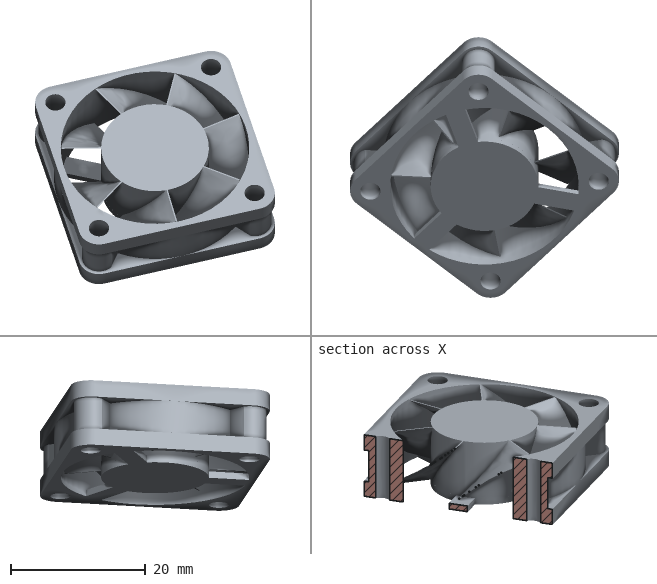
import cadquery as cq
import math

SIDE = 30.0
HEIGHT = 10.0
CORNER_RADIUS = 3.0
FLANGE_THICKNESS = 2.52
WAIST_HEIGHT = HEIGHT - 2 * FLANGE_THICKNESS
BORE_DIAMETER = 28.0
RING_DIAMETER = SIDE

HOLE_DIAMETER = 3.0
HOLE_SPACING = 24.0
HOLE_CIRCLE_RADIUS = HOLE_SPACING / math.sqrt(2)
POST_DIAMETER = 5.0
CORNER_ANGLES = [45, 135, 225, 315]
POST_HALF_ANGLE = 7.8

SUPPORT_THICKNESS = 1.0
STRUT_WIDTH = 3.0
STRUT_COUNT = 3
STRUT_REACH = (BORE_DIAMETER + RING_DIAMETER) / 4

HUB_DIAMETER = 16.0
BLADE_COUNT = 7
BLADE_THICKNESS = 0.2
BLADE_TWIST = 49.5
BLADE_BOTTOM = 1.7
TIP_DIAMETER = 27.78
BLADE_ROOT_DEPTH = 1.5
BLADE_ROOT_RADIUS = HUB_DIAMETER / 2 - BLADE_ROOT_DEPTH


def cylinder(diameter, height, bottom=0.0):
    """Upright cylinder on the fan axis."""
    return cq.Workplane("XY").workplane(offset=bottom).circle(diameter / 2).extrude(height)


def flange(bottom):
    """Square plate with rounded corners."""
    return (
        cq.Workplane("XY", origin=(0, 0, bottom))
        .rect(SIDE, SIDE)
        .extrude(FLANGE_THICKNESS)
        .edges("|Z")
        .fillet(CORNER_RADIUS)
    )


def screw_post(angle):
    """Post between the flanges: round outside the hole, narrowing along radial sides to the ring."""
    half_angle = math.radians(POST_HALF_ANGLE)
    to_chord_middle = HOLE_CIRCLE_RADIUS * math.cos(half_angle)
    circle_offset = HOLE_CIRCLE_RADIUS * math.sin(half_angle)
    half_chord = math.sqrt((POST_DIAMETER / 2) ** 2 - circle_offset ** 2)
    side_length = to_chord_middle + half_chord
    end_x = side_length * math.cos(half_angle)
    end_y = side_length * math.sin(half_angle)
    return (
        cq.Workplane("XY", origin=(0, 0, FLANGE_THICKNESS))
        .lineTo(end_x, -end_y)
        .threePointArc((HOLE_CIRCLE_RADIUS + POST_DIAMETER / 2, 0), (end_x, end_y))
        .close()
        .extrude(WAIST_HEIGHT)
        .rotate((0, 0, 0), (0, 0, 1), angle)
    )


def motor_support():
    """Disc under the hub, held in the bore by radial struts."""
    support = cylinder(HUB_DIAMETER, SUPPORT_THICKNESS)
    for index in range(STRUT_COUNT):
        strut = (
            cq.Workplane("XY")
            .center(STRUT_REACH / 2, 0)
            .rect(STRUT_REACH, STRUT_WIDTH)
            .extrude(SUPPORT_THICKNESS)
            .rotate((0, 0, 0), (0, 0, 1), index * 360 / STRUT_COUNT)
        )
        support = support.union(strut)
    return support


def make_housing():
    body = cylinder(RING_DIAMETER, WAIST_HEIGHT, FLANGE_THICKNESS)
    for angle in CORNER_ANGLES:
        body = body.union(screw_post(angle))
    body = body.union(flange(0)).union(flange(HEIGHT - FLANGE_THICKNESS))
    body = body.cut(cylinder(BORE_DIAMETER, HEIGHT))
    screw_holes = (
        cq.Workplane("XY")
        .rect(HOLE_SPACING, HOLE_SPACING, forConstruction=True)
        .vertices()
        .circle(HOLE_DIAMETER / 2)
        .extrude(HEIGHT)
    )
    return body.cut(screw_holes).union(motor_support())


def blade(angle):
    """Thin twisted blade that climbs counterclockwise; its counterclockwise face is radial."""
    length = SIDE / 2 - BLADE_ROOT_RADIUS
    return (
        cq.Workplane("XY", origin=(0, 0, BLADE_BOTTOM))
        .moveTo(BLADE_ROOT_RADIUS + length / 2, -BLADE_THICKNESS / 2)
        .rect(length, BLADE_THICKNESS)
        .twistExtrude(HEIGHT - BLADE_BOTTOM, BLADE_TWIST)
        .rotate((0, 0, 0), (0, 0, 1), angle)
    )


def make_rotor():
    rotor = cylinder(HUB_DIAMETER, HEIGHT - SUPPORT_THICKNESS, SUPPORT_THICKNESS)
    tip_envelope = cylinder(TIP_DIAMETER, HEIGHT)
    for index in range(BLADE_COUNT):
        angle = index * 360 / BLADE_COUNT
        rotor = rotor.union(blade(angle).intersect(tip_envelope))
    return rotor


housing = make_housing()
rotor = make_rotor()
result = cq.Compound.makeCompound([housing.solids().val(), rotor.solids().val()])